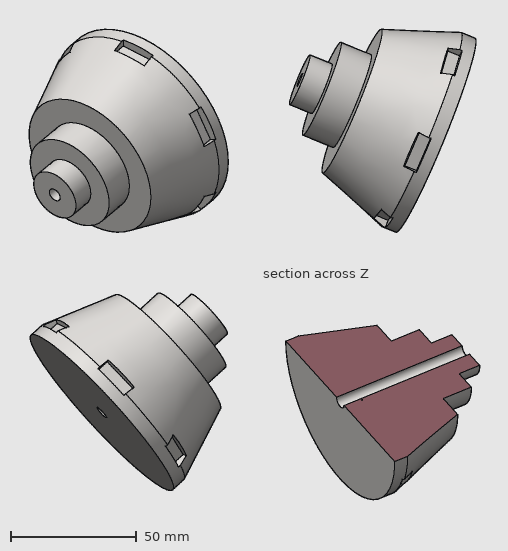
import cadquery as cq

rim_diameter = 83.5
cone_end_diameter = 61.8
hub_diameter = 40.0
spigot_diameter = 21.5
bore_diameter = 5.5

rim_thickness = 6.0
cone_end = 36.0
hub_end = 49.0
total_length = 58.5

pocket_count = 6
pocket_width = 15
pocket_start = 5
pocket_floor_end = 10
pocket_floor_radius = 37.9
cone_slope = (rim_diameter - cone_end_diameter) / 2 / (cone_end - rim_thickness)
pocket_top_radius = rim_diameter / 2 + 0.8
pocket_top_end = pocket_floor_end + (pocket_top_radius - pocket_floor_radius) * cone_slope


def make_body():
    """Rim, cone, hub and spigot turned in one piece, with its back at Y = 0."""
    profile = [
        (0, 0),
        (rim_diameter / 2, 0),
        (rim_diameter / 2, -rim_thickness),
        (cone_end_diameter / 2, -cone_end),
        (hub_diameter / 2, -cone_end),
        (hub_diameter / 2, -hub_end),
        (spigot_diameter / 2, -hub_end),
        (spigot_diameter / 2, -total_length),
        (0, -total_length),
    ]
    return cq.Workplane("XY").polyline(profile).close().revolve(360, (0, 0, 0), (0, 1, 0))


def make_bore():
    """Straight hole through the whole length."""
    return cq.Workplane("XZ").circle(bore_diameter / 2).extrude(total_length)


def make_pocket(angle):
    """Flat-floored pocket cutter, turned about Y from the +Z position."""
    section = [
        (-pocket_start, pocket_floor_radius),
        (-pocket_start, pocket_top_radius),
        (-pocket_top_end, pocket_top_radius),
        (-pocket_floor_end, pocket_floor_radius),
    ]
    cutter = cq.Workplane("YZ").polyline(section).close().extrude(pocket_width / 2, both=True)
    return cutter.rotate((0, 0, 0), (0, 1, 0), angle)


result = make_body().cut(make_bore())
for index in range(pocket_count):
    result = result.cut(make_pocket(index * 360 / pocket_count))